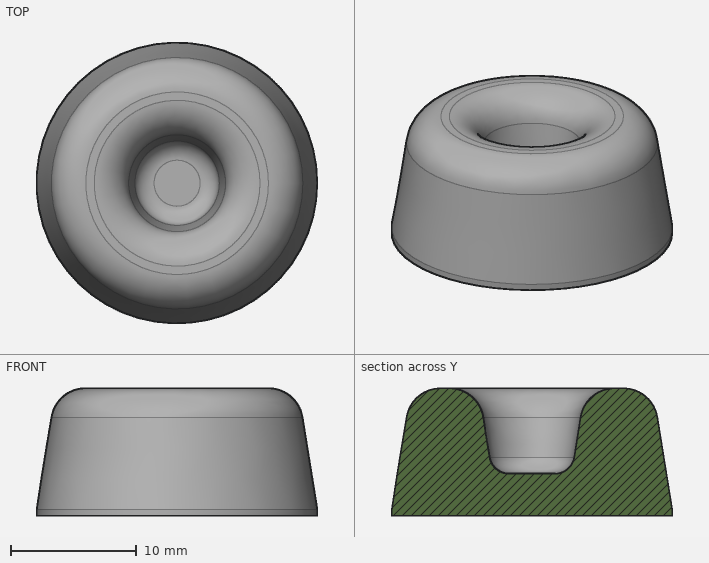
import cadquery as cq
import math

base_radius = 11.18
height = 10.17
base_rim_height = 0.54
crown_outer_radius = 7.26
crown_inner_radius = 6.6
rounding_radius = 2.77
wall_taper = math.radians(9.0)
recess_floor_radius = 1.83
recess_fillet_radius = 1.55


def point_on_arc(center, radius, angle):
    return (center[0] + radius * math.cos(angle), center[1] + radius * math.sin(angle))


rounding_height = height - rounding_radius
outer_center = (crown_outer_radius, rounding_height)
inner_center = (crown_inner_radius, rounding_height)
outer_middle_angle = (math.pi / 2 + wall_taper) / 2
inner_middle_angle = math.pi - outer_middle_angle

shoulder = point_on_arc(outer_center, rounding_radius, wall_taper)
shoulder_middle = point_on_arc(outer_center, rounding_radius, outer_middle_angle)
throat = point_on_arc(inner_center, rounding_radius, math.pi - wall_taper)
throat_middle = point_on_arc(inner_center, rounding_radius, inner_middle_angle)

fillet_edge_radius = recess_floor_radius + recess_fillet_radius * math.cos(wall_taper)
fillet_edge_height = throat[1] - (throat[0] - fillet_edge_radius) / math.tan(wall_taper)
fillet_center = (recess_floor_radius, fillet_edge_height + recess_fillet_radius * math.sin(wall_taper))
floor_height = fillet_center[1] - recess_fillet_radius
fillet_middle = point_on_arc(fillet_center, recess_fillet_radius, -outer_middle_angle)

half_section = (
    cq.Workplane("XZ")
    .lineTo(base_radius, 0)
    .lineTo(base_radius, base_rim_height)
    .lineTo(*shoulder)
    .threePointArc(shoulder_middle, (crown_outer_radius, height))
    .lineTo(crown_inner_radius, height)
    .threePointArc(throat_middle, throat)
    .lineTo(fillet_edge_radius, fillet_edge_height)
    .threePointArc(fillet_middle, (recess_floor_radius, floor_height))
    .lineTo(0, floor_height)
    .close()
)

result = half_section.revolve(360, (0, 0, 0), (0, 1, 0))